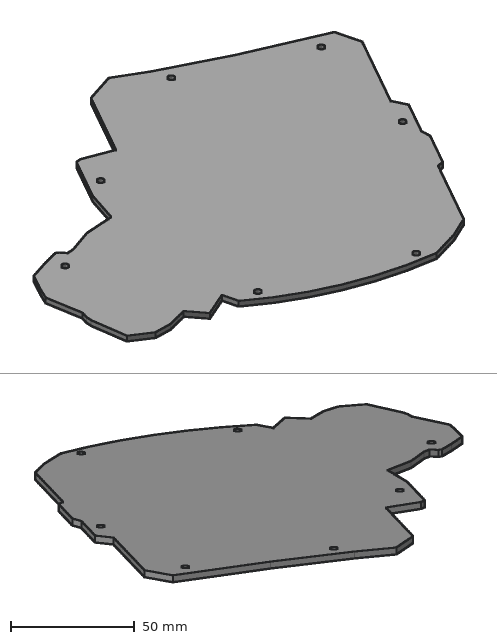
import cadquery as cq

width = 160.9
length = 179.3
thickness = 3.0
hole_diameter = 3.0

shoulder_y = 176.8
left_top_y = 170.5
left_bottom_y = 55.2
foot_y = 37.7

left_recess_x = 2.2

top_edge = [
    (0, 161.5),
    (9.1, left_top_y),
    (48.5, left_top_y),
    (52.9, shoulder_y),
    (70.5, shoulder_y),
    (74.2, length),
    (91.6, length),
    (93.5, shoulder_y),
    (128.8, shoulder_y),
    (137.2, 170.0),
    (146.1, 160.0),
]

right_bow_middle = (154.4, 107.8)
right_bow_end = (151.7, 74.6)

lobe = [
    (146.1, 69.2),
    (155.6, 61.1),
    (151.3, 51.5),
    (157.6, 44.0),
    (width, 36.5),
    (159.6, 25.0),
    (146.0, 14.0),
    (143.5, 12.7),
    (140.4, 12.0),
    (126.8, 0.5),
    (122.1, 0.2),
    (112.3, 0),
    (105.8, 6.8),
    (101.0, 12.5),
    (101.0, 14.0),
    (102.4, 17.4),
    (100.8, 20.3),
    (92.5, 28.5),
    (85.7, 40.9),
]

foot_and_left_side = [
    (70.8, foot_y),
    (48.2, foot_y),
    (47.0, 39.8),
    (45.5, left_bottom_y),
    (11.1, left_bottom_y),
    (1.0, 65.8),
    (left_recess_x, 83.2),
    (left_recess_x, 119.0),
]

hole_centers = [
    (62.4, 171.3),
    (7.5, 153.7),
    (143.8, 152.0),
    (8.5, 90.0),
    (148.3, 83.7),
    (62.4, 43.5),
    (110.0, 14.0),
]


def make_plate():
    """Flat plate with the full outline."""
    outline = cq.Workplane("XY").polyline(top_edge)
    outline = outline.threePointArc(right_bow_middle, right_bow_end)
    for point in lobe + foot_and_left_side:
        outline = outline.lineTo(*point)
    return outline.close().extrude(thickness)


def make_holes():
    """Cylinders that cut the screw holes through the plate."""
    return cq.Workplane("XY").pushPoints(hole_centers).circle(hole_diameter / 2).extrude(thickness)


result = make_plate().cut(make_holes())